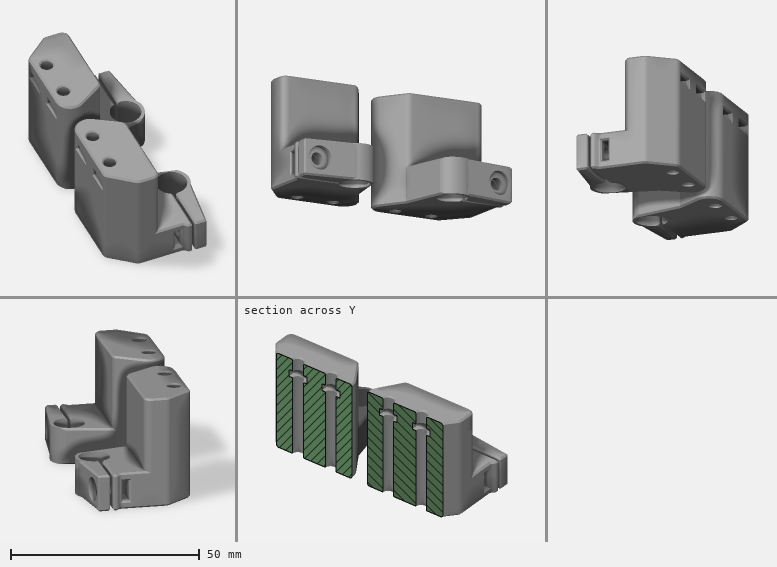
import cadquery as cq
import math


HALF_SPAN = 32.0
BLOCK_HEIGHT = 30.0
PLATE_HEIGHT = 10.0
BLOCK_DEPTH = 13.6
EDGE_CHAMFER = 0.5
CORNER_RADIUS = 0.5

LIP_WIDTH = 1.0
WALL_X = LIP_WIDTH - HALF_SPAN
BEVEL_WIDTH = 6.0
BEVEL_DEPTH = 7.3
BLOCK_RADIUS = 2.0
NOSE_RADIUS = 4.0
NOSE_TIP_X = 0.8
SHOULDER_X = -7.35
SHOULDER_Y = 12.8

BORE_X = -15.05
BORE_Y = 23.9
BORE_DIAMETER = 8.4
RING_RADIUS = 5.1
WALL_MEETS_RING_ANGLE = 20.0
ARM_MEETS_RING_ANGLE = 114.0

SLIT_FRONT_Y = 22.5
SLIT_WIDTH = 0.8
ARM_TIP_BACK_Y = 26.55
LIP_DEPTH = 1.15

SCREW_DIAMETER = 3.4
COUNTERSINK_DEPTH = 0.4
BLOCK_NUT_WIDTH = 5.75
BLOCK_NUT_HEIGHT = 2.0
CLAMP_NUT_WIDTH = 5.6
CLAMP_NUT_DEPTH = 1.9
BLOCK_SCREW_Y = 3.5
BLOCK_SCREW_XS = (-20.6, -9.6)
BLOCK_NUT_Z = 25.15
CLAMP_SCREW_X = -27.6
CLAMP_SCREW_Z = PLATE_HEIGHT / 2
CLAMP_NUT_Y = 18.8
HEAD_DIAMETER = 6.5
HEAD_SEAT_Y = 25.6

BEVEL_BACK = (WALL_X, BEVEL_DEPTH)
BEVEL_FRONT = (WALL_X + BEVEL_WIDTH, 0)
NOSE_TIP = (NOSE_TIP_X, 0)
SHOULDER = (SHOULDER_X, SHOULDER_Y)
FRONT_ROUNDS = [(BEVEL_BACK, BLOCK_RADIUS), (BEVEL_FRONT, BLOCK_RADIUS), (NOSE_TIP, NOSE_RADIUS)]


def rounded_prism(outline, height, rounds):
    """Extrude an outline and round its upright edges at the listed corners."""
    prism = outline.close().extrude(height)
    for (x, y), radius in rounds:
        prism = prism.edges(cq.NearestToPointSelector((x, y, height / 2))).fillet(radius)
    return prism


def ring_point(angle):
    """Point on the outside of the clamp ring, at an angle in degrees from +X."""
    turn = math.radians(angle)
    return (BORE_X + RING_RADIUS * math.cos(turn), BORE_Y + RING_RADIUS * math.sin(turn))


def make_block():
    slope = (SHOULDER_X - NOSE_TIP_X) / SHOULDER_Y
    back_outer = (WALL_X, BLOCK_DEPTH)
    back_inner = (NOSE_TIP_X + slope * BLOCK_DEPTH, BLOCK_DEPTH)
    corners = [BEVEL_BACK, BEVEL_FRONT, NOSE_TIP, back_inner, back_outer]
    rounds = FRONT_ROUNDS + [(back_inner, BLOCK_RADIUS), (back_outer, BLOCK_RADIUS)]
    block = rounded_prism(cq.Workplane("XY").polyline(corners), BLOCK_HEIGHT, rounds)
    return block.faces("<Z or >Z").chamfer(EDGE_CHAMFER)


def is_ring_rim(edge):
    """True for the outer rims of the clamp ring, which stay sharp."""
    return edge.geomType() == "CIRCLE" and math.isclose(edge.radius(), RING_RADIUS, rel_tol=0.001)


def make_clamp_plate():
    """Low plate with the clamp ring and, behind the slit, the tapered clamp arm.

    The slit ends inside the bore, which opens it once cut.
    """
    arm_front_y = SLIT_FRONT_Y + SLIT_WIDTH
    arm_tip_front = (-HALF_SPAN, arm_front_y)
    arm_tip_back = (-HALF_SPAN, ARM_TIP_BACK_Y)
    lip_back = (-HALF_SPAN, SLIT_FRONT_Y)
    lip_front = (-HALF_SPAN, SLIT_FRONT_Y - LIP_DEPTH)
    lip_root = (WALL_X, lip_front[1] - LIP_WIDTH)
    small_corners = [arm_tip_back, arm_tip_front, lip_back, lip_front, lip_root]
    outline = (
        cq.Workplane("XY")
        .polyline([BEVEL_BACK, BEVEL_FRONT, NOSE_TIP, SHOULDER, ring_point(WALL_MEETS_RING_ANGLE)])
        .threePointArc(ring_point(90), ring_point(ARM_MEETS_RING_ANGLE))
        .lineTo(*arm_tip_back)
        .lineTo(*arm_tip_front)
        .lineTo(BORE_X, arm_front_y)
        .lineTo(BORE_X, SLIT_FRONT_Y)
        .lineTo(*lip_back)
        .lineTo(*lip_front)
        .lineTo(*lip_root)
    )
    rounds = FRONT_ROUNDS + [(corner, CORNER_RADIUS) for corner in small_corners]
    bore = cq.Workplane("XY").center(BORE_X, BORE_Y).circle(BORE_DIAMETER / 2).extrude(PLATE_HEIGHT)
    plate = rounded_prism(outline, PLATE_HEIGHT, rounds)
    rims = plate.faces("<Z or >Z").edges().filter(lambda edge: not is_ring_rim(edge))
    return rims.chamfer(EDGE_CHAMFER).cut(bore)


def nut_slot(mouth, width, height, depth):
    """Rectangular slot cut inward from the mouth plane, with a chamfered rim."""
    slot = mouth.rect(width, height).extrude(-depth)
    flare = (
        mouth.rect(width + 2 * EDGE_CHAMFER, height + 2 * EDGE_CHAMFER)
        .workplane(offset=-EDGE_CHAMFER)
        .rect(width, height)
        .loft()
    )
    return slot.union(flare)


def block_fastener(x):
    """Vertical screw hole through the block with a nut slot opening on the front face."""
    top = cq.Workplane("XY", origin=(x, BLOCK_SCREW_Y, BLOCK_HEIGHT))
    hole = top.circle(SCREW_DIAMETER / 2).extrude(-BLOCK_HEIGHT)
    countersink = (
        top.circle(SCREW_DIAMETER / 2 + COUNTERSINK_DEPTH)
        .workplane(offset=-COUNTERSINK_DEPTH)
        .circle(SCREW_DIAMETER / 2)
        .loft()
    )
    mouth = cq.Workplane("XZ", origin=(x, 0, BLOCK_NUT_Z))
    slot_depth = BLOCK_SCREW_Y + BLOCK_NUT_WIDTH / 2
    slot = nut_slot(mouth, BLOCK_NUT_WIDTH, BLOCK_NUT_HEIGHT, slot_depth)
    return hole.union(countersink).union(slot)


def clamp_fastener():
    """Cross screw hole through the slit, with a head recess in the arm and a nut slot in the plate."""
    behind_arm_y = BORE_Y + RING_RADIUS
    behind_arm = cq.Workplane("XZ", origin=(CLAMP_SCREW_X, behind_arm_y, CLAMP_SCREW_Z))
    hole = behind_arm.circle(SCREW_DIAMETER / 2).extrude(behind_arm_y - CLAMP_NUT_Y)
    head = behind_arm.circle(HEAD_DIAMETER / 2).extrude(behind_arm_y - HEAD_SEAT_Y)
    mouth = cq.Workplane(cq.Plane((WALL_X, CLAMP_NUT_Y, CLAMP_SCREW_Z), xDir=(0, -1, 0), normal=(-1, 0, 0)))
    slot_depth = CLAMP_SCREW_X - WALL_X + CLAMP_NUT_WIDTH / 2
    slot = nut_slot(mouth, CLAMP_NUT_DEPTH, CLAMP_NUT_WIDTH, slot_depth)
    return hole.union(head).union(slot)


def make_left_bracket():
    bracket = make_block().union(make_clamp_plate())
    for x in BLOCK_SCREW_XS:
        bracket = bracket.cut(block_fastener(x))
    return bracket.cut(clamp_fastener())


left_bracket = make_left_bracket()
right_bracket = left_bracket.mirror("YZ")

result = cq.Compound.makeCompound([left_bracket.val(), right_bracket.val()])